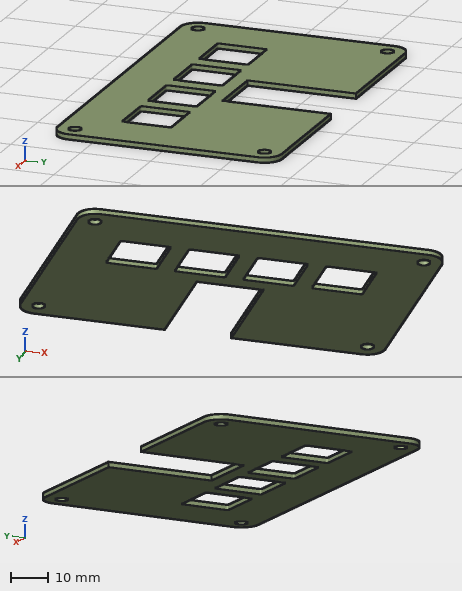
import cadquery as cq

PLATE_LENGTH = 101.4
PLATE_WIDTH = 64.22
PLATE_THICKNESS = 1.5
CORNER_RADIUS = 5.0

HOLE_DIAMETER = 3.4
HOLE_SPACING_X = PLATE_LENGTH - 2 * CORNER_RADIUS
HOLE_SPACING_Y = PLATE_WIDTH - 2 * CORNER_RADIUS

NOTCH_WIDTH = 18.5
NOTCH_DEPTH = 31.0

WINDOW_COUNT = 4
WINDOW_SIZE = 14.0
WINDOW_PITCH = 19.05
WINDOW_CORNER_RADIUS = 0.5
WINDOW_ROW_X = -0.225
WINDOW_MARGIN_Y = 14.5
WINDOW_ROW_Y = -PLATE_WIDTH / 2 + WINDOW_MARGIN_Y + WINDOW_SIZE / 2


def make_plate():
    """Flat plate with rounded vertical corners."""
    plate = cq.Workplane("XY").box(
        PLATE_LENGTH, PLATE_WIDTH, PLATE_THICKNESS, centered=(True, True, False)
    )
    return plate.edges("|Z").fillet(CORNER_RADIUS)


def make_mounting_holes():
    """Through-hole cutters at the four corners."""
    return (
        cq.Workplane("XY")
        .rarray(HOLE_SPACING_X, HOLE_SPACING_Y, 2, 2)
        .circle(HOLE_DIAMETER / 2)
        .extrude(PLATE_THICKNESS)
    )


def make_notch():
    """Rectangular cutter running inward from the +Y edge."""
    notch_center_y = PLATE_WIDTH / 2 - NOTCH_DEPTH / 2
    return (
        cq.Workplane("XY")
        .center(0, notch_center_y)
        .rect(NOTCH_WIDTH, NOTCH_DEPTH)
        .extrude(PLATE_THICKNESS)
    )


def make_windows():
    """Square cutters with rounded corners, evenly spaced along X."""
    return (
        cq.Workplane("XY")
        .center(WINDOW_ROW_X, WINDOW_ROW_Y)
        .rarray(WINDOW_PITCH, WINDOW_PITCH, WINDOW_COUNT, 1)
        .rect(WINDOW_SIZE, WINDOW_SIZE)
        .extrude(PLATE_THICKNESS)
        .edges("|Z")
        .fillet(WINDOW_CORNER_RADIUS)
    )


result = make_plate().cut(make_mounting_holes()).cut(make_notch()).cut(make_windows())